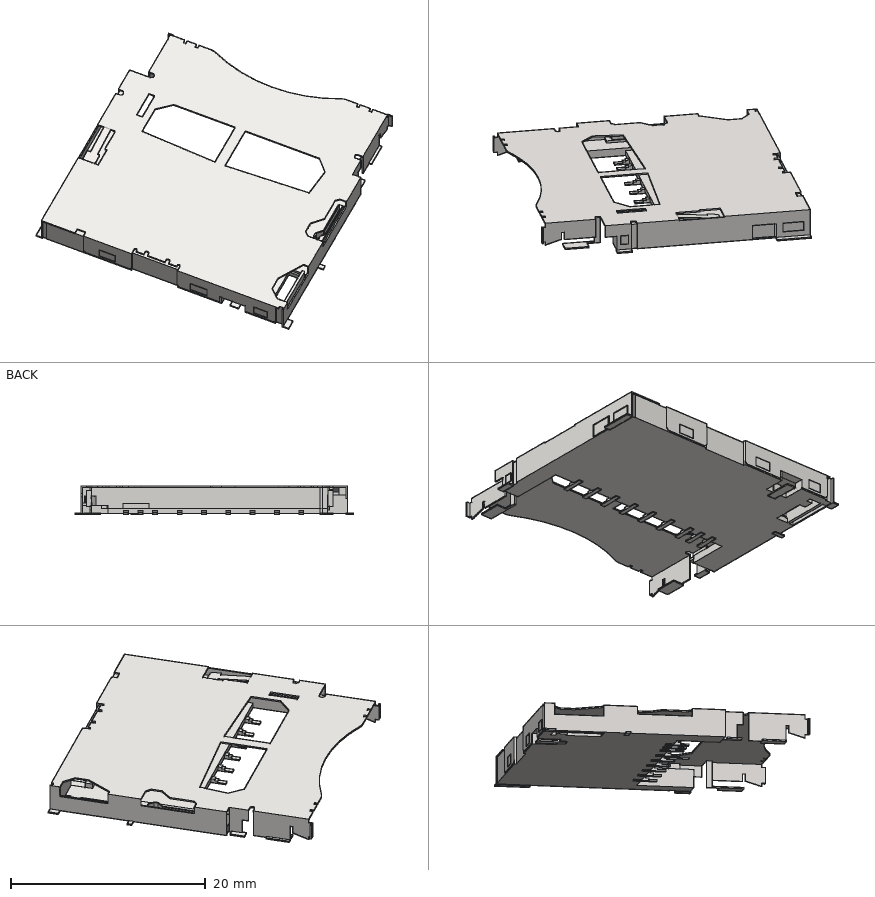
import cadquery as cq
import math


sheet = 0.15
top = 2.95
half_width = 13.7
foot_reach = 14.3
rear_left, rear_right = -11.82, 12.76
rear_y = 27.4
total_length = 27.8
left_shoulder = 21.5
right_shoulder = 18.9

under_cover = top - sheet
base_z = 0.1
floor_top = 0.65
floor_front, floor_end = 0.55, 14.35
inner_left = -half_width + sheet
inner_right = half_width - sheet
opening_z = 1.65
window_z = 0.7

plastic_front = 0.05
rail_top = 0.95
spring_top = 1.9

left_flap_x = (-8.95, -3.5)
right_flap_x = (1.69, 12.8)
relief_end = -13.0
left_relief_y = (18.15, 18.75)
left_tab_end = 20.3
mouth_slot_end = -11.1
mouth_slot_rear = 22.1
left_foot_inner = -10.86
right_slot_front = 20.95
mouth_foot_start = 22.9
foot_end = 25.4


def block(x0, x1, y0, y1, z0, z1):
    """Axis-aligned box between two corner positions."""
    return cq.Workplane("XY").box(x1 - x0, y1 - y0, z1 - z0, centered=False).translate((x0, y0, z0))


def plate(points, z0, z1):
    """Polygon in plan, extruded between two heights."""
    return cq.Workplane("XY").workplane(offset=z0).polyline(points).close().extrude(z1 - z0)


def round_slot(x_open, x_end, y0, y1):
    """Cover cutter entering from x_open, with rounded corners at x_end."""
    slot = block(min(x_open, x_end), max(x_open, x_end), y0, y1, under_cover, top)
    return slot.edges("|Z and " + ("<X" if x_end < x_open else ">X")).fillet(0.4 * (y1 - y0))


def cover_outline():
    scoop_x = (rear_left + rear_right) / 2
    scoop_depth = 1.75
    scoop_radius = 16.3
    scoop_half = math.sqrt(scoop_radius**2 - (scoop_radius - scoop_depth)**2)
    scoop_blend = 1.5
    outline = (
        cq.Workplane("XY").workplane(offset=under_cover)
        .moveTo(-half_width, 0)
        .lineTo(half_width, 0)
        .lineTo(half_width, right_shoulder)
        .lineTo(rear_right, right_shoulder)
        .lineTo(rear_right, rear_y)
        .lineTo(scoop_x + scoop_half, rear_y)
        .threePointArc((scoop_x, rear_y - scoop_depth), (scoop_x - scoop_half, rear_y))
        .lineTo(rear_left, rear_y)
        .lineTo(rear_left, left_shoulder)
        .lineTo(-half_width, left_shoulder)
        .close().extrude(sheet)
    )
    scoop_ends = cq.selectors.BoxSelector(
        (scoop_x - scoop_half - 0.1, rear_y - 0.1, 0),
        (scoop_x + scoop_half + 0.1, rear_y + 0.1, top + 1),
    )
    return outline.edges("|Z").edges(scoop_ends).fillet(scoop_blend)


def cut_card_windows(cover):
    """Two large windows split by a bar; their front edges form a shallow V."""
    rear = 19.35
    corner_y = 18.0
    front_outer, front_inner = 14.85, 14.4
    left = [(-9.2, front_outer), (-0.75, front_inner), (-0.75, rear), (-7.7, rear), (-9.2, corner_y)]
    right = [(0.4, front_inner), (9.7, front_outer), (10.05, corner_y), (8.8, rear), (0.4, rear)]
    for outline in (left, right):
        cover = cover.cut(plate(outline, under_cover, top))
    return cover


def cut_cover_details(cover):
    cover = cover.cut(block(-10.6, -9.97, 16.55, 19.55, under_cover, top))
    cover = cover.cut(round_slot(rear_left, mouth_slot_end, left_shoulder, mouth_slot_rear))
    cover = cover.cut(round_slot(rear_right, 11.95, right_slot_front, 21.45))
    nick_width, nick_depth = 0.27, 0.35
    for x in (-10.2, -8.85, 9.4, 10.83):
        cover = cover.cut(block(x, x + nick_width, rear_y - nick_depth, rear_y, under_cover, top))
    cover = cover.cut(block(-9.9, left_flap_x[0], 0, 0.58, under_cover, top))
    notch_left, notch_right = left_flap_x[1], right_flap_x[0]
    cover = cover.cut(block(notch_left, notch_right, 0, 0.5, under_cover, top))
    for x0, x1, depth in (
        (notch_left, notch_left + 0.3, 0.82),
        (-2.33, -1.93, 0.97),
        (0.06, 0.46, 0.97),
        (notch_right - 0.3, notch_right, 0.82),
    ):
        nib = block(x0, x1, 0, depth, under_cover, top).edges("|Z and >Y").fillet(0.14)
        cover = cover.cut(nib)
    return cover


def cut_side_openings(shell):
    """Two openings at the right edge that also lower the right wall."""
    middle = [
        (half_width, 9.73), (12.0, 9.73), (11.49, 10.2), (11.49, 11.35),
        (12.56, 12.5), (12.56, 15.1), (12.95, 15.45), (half_width, 15.45),
    ]
    front = [(half_width, 1.07), (12.56, 1.07), (11.49, 2.05), (11.49, 3.5), (13.11, 6.2), (half_width, 6.2)]
    for outline, wall_top in ((middle, 2.15), (front, 1.8)):
        shell = shell.cut(plate(outline, wall_top, top))
    return shell


def add_lance(shell):
    """Spring tongue cut from the cover and bent down from its rear end."""
    root_y, tip_y, neck_y = 13.7, 9.27, 10.45
    bend = 6
    opening_front, opening_right = 9.0, -11.7
    widened_right, widened_rear = -11.47, 11.15
    edge_drop = 0.1
    shell = shell.cut(block(inner_left, opening_right, opening_front, root_y, under_cover, top))
    shell = shell.cut(block(opening_right, widened_right, opening_front, widened_rear, under_cover, top))
    shell = shell.cut(block(-half_width, inner_left, opening_front, root_y, top - edge_drop, top))
    head = block(-13.38, -11.96, tip_y, neck_y, under_cover, top)
    head = head.edges("|Z and <Y").fillet(0.25)
    tongue = head.union(block(-13.0, -12.2, neck_y, root_y, under_cover, top))
    tongue = tongue.rotate((0, root_y, top), (1, root_y, top), bend)
    return shell.union(tongue)


def front_flap(x_range):
    x0, x1 = x_range
    flap_bottom, corner = 0.25, 0.25
    flap = block(x0, x1, 0, sheet, flap_bottom, top)
    return flap.edges("|Y and <Z").chamfer(corner)


def front_flaps():
    flaps = front_flap(left_flap_x).union(front_flap(right_flap_x))
    latch_bottom, latch_top = 0.55, 1.55
    for x0, x1 in ((-7.15, -5.34), (3.16, 5.04), (10.34, 11.88)):
        flaps = flaps.cut(block(x0, x1, 0, plastic_front, latch_bottom, latch_top))
    return flaps


def left_wall():
    wall = block(-half_width, inner_left, 0, left_shoulder, base_z, top)
    wall = wall.cut(block(-half_width, inner_left, left_tab_end, left_shoulder, base_z, opening_z))
    wall = wall.cut(block(-half_width, inner_left, *left_relief_y, base_z, under_cover))
    recess = 0.1
    for y0, y1 in ((0.7, 2.87), (19.05, 19.87)):
        wall = wall.cut(block(-half_width, -half_width + recess, y0, y1, window_z, opening_z))
    pocket_front, pocket_step, pocket_rear, pocket_bottom = 3.57, 3.77, 6.07, 0.25
    step_recess = recess / 2
    pocket = block(-half_width, -half_width + recess, pocket_step, pocket_rear, pocket_bottom, opening_z)
    wall = wall.cut(pocket)
    step = block(-half_width, -half_width + step_recess, pocket_front, pocket_step, pocket_bottom, opening_z)
    return wall.cut(step)


def right_wall():
    return block(inner_right, half_width, 0, right_shoulder, base_z, top)


def mouth_profile(front, bottom):
    """Side wall of the mouth: raised chin at the rear, slit, then the lower part."""
    slit_front, slit_rear, slit_top = foot_end, 25.7, 1.75
    chin_front_z, chin_rear_z = 1.0, 0.5
    return [
        (front, bottom), (slit_front, bottom), (slit_front, slit_top), (slit_rear, slit_top),
        (slit_rear, chin_front_z), (rear_y, chin_rear_z), (rear_y, top), (front, top),
    ]


def mouth_wall(x0, front, bottom):
    outline = cq.Workplane("YZ").workplane(offset=x0).polyline(mouth_profile(front, bottom)).close()
    return outline.extrude(sheet)


def mouth_lip(x_wall, outward):
    """Guide lip at the rear end of a mouth wall, turned outward."""
    lip_bottom, lip_top = 0.85, 2.5
    flare = 0.38
    x_in = x_wall - outward * sheet
    x_out = x_wall + outward * flare
    stem = block(min(x_wall, x_in), max(x_wall, x_in), rear_y, total_length, lip_bottom, lip_top)
    flange = block(
        min(x_in, x_out), max(x_in, x_out), total_length - sheet, total_length, lip_bottom, lip_top
    )
    return stem.union(flange)


def mouth():
    left_bottom = 0.95
    left_wall_front = mouth_slot_rear
    walls = mouth_wall(rear_left, left_wall_front, left_bottom)
    walls = walls.union(mouth_wall(rear_right - sheet, left_shoulder, 0))
    strut = block(mouth_slot_end, left_foot_inner, left_shoulder, mouth_slot_rear, 0, under_cover)
    walls = walls.union(strut)
    walls = walls.union(block(rear_right - sheet, rear_right, right_shoulder, left_tab_end, 0, top))
    walls = walls.union(block(rear_right - sheet, rear_right, left_tab_end, right_slot_front, opening_z, top))
    lips = mouth_lip(rear_left, -1).union(mouth_lip(rear_right, 1))
    return walls.union(lips)


def solder_feet():
    feet = cq.Workplane("XY")
    foot_ranges = (
        (-foot_reach, inner_left, 0, 3.6),
        (-foot_reach, inner_left, 18.75, 20.35),
        (inner_right, foot_reach, 0, 1.07),
        (13.0, foot_reach, 8.45, 8.92),
        (rear_right - sheet, 13.35, 19.15, 20.7),
        (-12.2, left_foot_inner, mouth_foot_start, foot_end),
        (mouth_slot_end, left_foot_inner, left_shoulder, mouth_foot_start),
        (11.7, 13.05, mouth_foot_start, foot_end),
    )
    for x0, x1, y0, y1 in foot_ranges:
        feet = feet.add(block(x0, x1, y0, y1, 0, sheet))
    return feet.combine()


def front_wall():
    wall_back = 1.0
    wall = block(inner_left, inner_right, plastic_front, wall_back, base_z, under_cover)
    corner_end, corner_setback, middle_setback = -13.16, 0.1, 0.25
    wall = wall.cut(block(inner_left, corner_end, 0, corner_setback, base_z, under_cover))
    return wall.cut(block(left_flap_x[1], right_flap_x[0], 0, middle_setback, base_z, under_cover))


def left_rail():
    rail_inner, rail_height = -11.65, 2.0
    rail = block(inner_left, rail_inner, floor_front, left_tab_end, base_z, rail_height)
    post_inner, margin = -12.8, 0.3
    post_front = left_relief_y[0] - margin
    post_rear = left_relief_y[1] + margin
    return rail.union(block(inner_left, post_inner, post_front, post_rear, base_z, under_cover))


def right_rail():
    rail_inner, rail_front, rail_end = 10.9, 6.5, 18.85
    rail = block(rail_inner, inner_right, rail_front, rail_end, base_z, rail_top)
    spring_ledge = block(12.56, inner_right, 9.0, 16.0, rail_top, 1.2)
    tip = block(11.0, 11.6, rail_end, 19.6, floor_top, rail_top)
    return rail.union(spring_ledge).union(tip)


def base():
    floor = block(inner_left, inner_right, floor_front, floor_end, base_z, floor_top)
    body = front_wall().union(floor).union(left_rail()).union(right_rail())
    well_left, well_front, well_rear = 11.4, 1.07, 6.3
    overlap = 0.2
    body = body.cut(block(well_left, inner_right, well_front, well_rear, 0, under_cover))
    rod = block(12.8, 13.11, well_front - overlap, well_rear + overlap, base_z, 1.4)
    ledge = block(well_left - overlap, 12.1, 1.6, 2.67, base_z, floor_top)
    return body.union(rod).union(ledge)


def ejector_spring():
    """Leaf and kinked latch standing on the right rail."""
    leaf = block(13.2, 13.3, 10.0, 15.5, base_z, spring_top)
    latch_line = [(12.75, 15.4), (12.75, 11.8), (12.15, 11.15), (12.15, 10.75), (12.75, 10.2)]
    latch_thickness = 0.15
    points = latch_line + [(x + latch_thickness, y) for x, y in reversed(latch_line)]
    return leaf.union(plate(points, base_z, spring_top))


def contact_tails():
    tails = cq.Workplane("XY")
    width = 0.5
    tail_start = 13.5
    levels = ((14.75, 0.45), (15.05, 0.3), (15.92, sheet))
    for x in (-8.94, -6.43, -3.94, -1.44, 1.06, 3.54, 6.09, 7.57, 9.07):
        for level_end, level_top in levels:
            tails = tails.add(block(x - width / 2, x + width / 2, tail_start, level_end, 0, level_top))
    return tails.combine()


def open_front_port(body):
    """Port under the right flap with a switch foot in it, closed by a ridge behind."""
    x0, x1 = 6.7, 9.35
    flap_cut_left = 6.48
    port_top, port_depth, ridge = 1.17, 2.5, 0.8
    foot_left, foot_right, foot_stand_off = 7.57, 8.54, 0.2
    port_back = port_depth + ridge
    flap_cut = block(flap_cut_left, x1, 0, plastic_front, base_z, port_top)
    body = body.cut(flap_cut).cut(block(x0, x1, 0, port_depth, 0, port_top))
    body = body.union(block(x0, x1, port_depth, port_back, base_z, port_top))
    switch_leaf = block(foot_left, foot_right, port_depth - foot_stand_off, port_back, 0, port_top)
    switch_foot = block(foot_left, foot_right, foot_stand_off, port_back, 0, sheet)
    return body.union(switch_leaf).union(switch_foot)


def cut_corner_relief(body):
    """Bend relief between the front face and the right wall."""
    cover_cut_left = 13.16
    depth = 0.25
    body = body.cut(block(right_flap_x[1], inner_right, 0, depth, 0, under_cover))
    return body.cut(block(cover_cut_left, inner_right, 0, depth, under_cover, top))


shell = cut_cover_details(cut_card_windows(cover_outline()))
shell = shell.union(left_wall()).union(right_wall()).union(front_flaps()).union(mouth())
shell = add_lance(cut_side_openings(shell))
shell = shell.cut(round_slot(-half_width, relief_end, *left_relief_y))

socket = shell.union(base()).union(ejector_spring()).union(contact_tails()).union(solder_feet())
result = cut_corner_relief(open_front_port(socket))